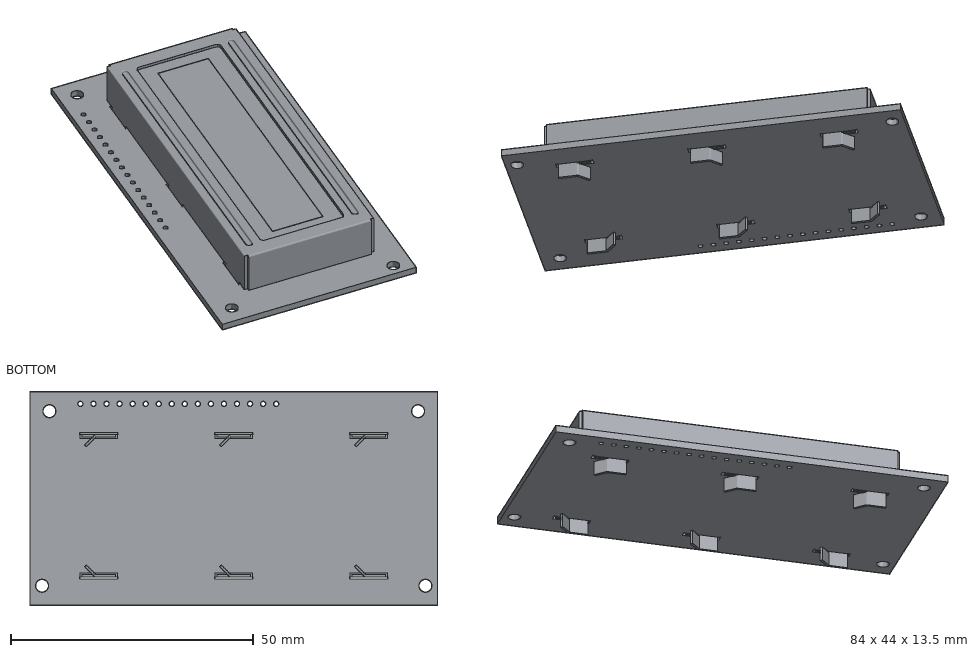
import cadquery as cq
import math

BOARD_LENGTH = 84.0
BOARD_WIDTH = 44.0
BOARD_THICKNESS = 1.5

MOUNT_DIAMETER = 2.6
UPPER_MOUNT_X = 39.5
UPPER_MOUNT_Y = 18.0
LOWER_MOUNT_X = 38.0
LOWER_MOUNT_Y = -18.0

PIN_COUNT = 16
PIN_PITCH = 2.7
PIN_DIAMETER = 1.0
FIRST_PIN_X = -31.6
PIN_Y = -19.5

BEZEL_LENGTH = 68.6
BEZEL_WIDTH = 29.4
BEZEL_HEIGHT = 9.0
BEZEL_Y = 1.5
BEND_RADIUS = 0.3
CORNER_NOTCH_X = 0.6
CORNER_NOTCH_Y = 0.75

WINDOW_LENGTH = 61.65
WINDOW_WIDTH = 19.0
WINDOW_DEPTH = 0.7
WINDOW_RADIUS = 0.8
VIEW_LENGTH = 56.3
VIEW_WIDTH = 11.4
VIEW_DEPTH = 0.1

GROOVE_LENGTH = 61.8
GROOVE_WIDTH = 1.35
GROOVE_DEPTH = 0.6
GROOVE_OFFSET = 12.0
GROOVE_RIM_RADIUS = 0.25
GROOVE_FLOOR_RADIUS = 0.29
SELECTION_MARGIN = 0.1

TAB_PITCH = 27.8
TAB_COUNT = 3
TAB_WIDTH = 6.8
TAB_THICKNESS = 0.5
TAB_DROP = 3.0
TAB_BEND_ANGLE = 45.0
TAB_STRAIGHT_WIDTH = 3.95
SLOT_END_CLEARANCE = 0.5
SLOT_SIDE_CLEARANCE = 0.3

BEZEL_TOP = BOARD_THICKNESS + BEZEL_HEIGHT
TAB_XS = [(i - (TAB_COUNT - 1) / 2) * TAB_PITCH for i in range(TAB_COUNT)]


def make_board():
    mounts = [(side * UPPER_MOUNT_X, UPPER_MOUNT_Y) for side in (-1, 1)]
    mounts += [(side * LOWER_MOUNT_X, LOWER_MOUNT_Y) for side in (-1, 1)]
    pins = [(FIRST_PIN_X + i * PIN_PITCH, PIN_Y) for i in range(PIN_COUNT)]
    board = cq.Workplane("XY").rect(BOARD_LENGTH, BOARD_WIDTH).extrude(BOARD_THICKNESS)
    for points, diameter in ((mounts, MOUNT_DIAMETER), (pins, PIN_DIAMETER)):
        holes = cq.Workplane("XY").pushPoints(points).circle(diameter / 2).extrude(BOARD_THICKNESS)
        board = board.cut(holes)
    tab_center = BEZEL_WIDTH / 2 - TAB_THICKNESS / 2
    slots = [(x, BEZEL_Y + side * tab_center) for x in TAB_XS for side in (-1, 1)]
    slot_length = TAB_WIDTH + 2 * SLOT_END_CLEARANCE
    slot_width = TAB_THICKNESS + 2 * SLOT_SIDE_CLEARANCE
    slot_cut = cq.Workplane("XY").pushPoints(slots).rect(slot_length, slot_width).extrude(BOARD_THICKNESS)
    return board.cut(slot_cut)


def groove_rim(side):
    """Selector for the edges around the mouth of one stiffening groove."""
    groove_y = BEZEL_Y + side * GROOVE_OFFSET
    low = (-GROOVE_LENGTH / 2, groove_y - GROOVE_WIDTH / 2, BEZEL_TOP)
    high = (GROOVE_LENGTH / 2, groove_y + GROOVE_WIDTH / 2, BEZEL_TOP)
    low = [value - SELECTION_MARGIN for value in low]
    high = [value + SELECTION_MARGIN for value in high]
    return cq.selectors.BoxSelector(low, high)


def make_bezel():
    base = cq.Workplane("XY", origin=(0, BEZEL_Y, BOARD_THICKNESS))
    bezel = base.rect(BEZEL_LENGTH, BEZEL_WIDTH).extrude(BEZEL_HEIGHT)
    bezel = bezel.faces(">Z").edges().fillet(BEND_RADIUS)
    corners = base.rect(BEZEL_LENGTH, BEZEL_WIDTH, forConstruction=True).vertices()
    bezel = bezel.cut(corners.rect(2 * CORNER_NOTCH_X, 2 * CORNER_NOTCH_Y).extrude(BEZEL_HEIGHT))

    top = cq.Workplane("XY", origin=(0, BEZEL_Y, BEZEL_TOP))
    window = top.rect(WINDOW_LENGTH, WINDOW_WIDTH).extrude(-WINDOW_DEPTH).edges("|Z").fillet(WINDOW_RADIUS)
    view = top.rect(VIEW_LENGTH, VIEW_WIDTH).extrude(-WINDOW_DEPTH - VIEW_DEPTH)
    bezel = bezel.cut(window).cut(view)
    for side in (-1, 1):
        groove = top.center(0, side * GROOVE_OFFSET).slot2D(GROOVE_LENGTH, GROOVE_WIDTH)
        groove = groove.extrude(-GROOVE_DEPTH).faces("<Z").edges().fillet(GROOVE_FLOOR_RADIUS)
        bezel = bezel.cut(groove)
        bezel = bezel.edges(groove_rim(side)).fillet(GROOVE_RIM_RADIUS)
    return bezel


def make_tab():
    """Tab for the -Y wall, outer face on Y = 0 and inside towards +Y."""
    shank = cq.Workplane("XY").rect(TAB_WIDTH, TAB_THICKNESS).extrude(BOARD_THICKNESS)
    shank = shank.translate((0, TAB_THICKNESS / 2, 0))

    right = TAB_WIDTH / 2
    pivot_x = right - TAB_STRAIGHT_WIDTH
    flap_length = TAB_WIDTH - TAB_STRAIGHT_WIDTH
    angle = math.radians(TAB_BEND_ANGLE)
    flap_x = -flap_length * math.cos(angle)
    flap_y = flap_length * math.sin(angle)

    def outer_point(turn):
        return (pivot_x - TAB_THICKNESS * math.sin(turn), TAB_THICKNESS * (1 - math.cos(turn)))

    bend_end = outer_point(angle)
    foot = (
        cq.Workplane("XY")
        .moveTo(right, 0)
        .lineTo(pivot_x, 0)
        .threePointArc(outer_point(angle / 2), bend_end)
        .lineTo(bend_end[0] + flap_x, bend_end[1] + flap_y)
        .lineTo(pivot_x + flap_x, TAB_THICKNESS + flap_y)
        .lineTo(pivot_x, TAB_THICKNESS)
        .lineTo(right, TAB_THICKNESS)
        .close()
        .extrude(-TAB_DROP)
    )
    return shank.union(foot)


result = make_board().union(make_bezel())
tab = make_tab()
for tab_x in TAB_XS:
    front_tab = tab.translate((tab_x, -BEZEL_WIDTH / 2, 0))
    back_tab = front_tab.mirror("XZ")
    result = result.union(front_tab.translate((0, BEZEL_Y, 0)))
    result = result.union(back_tab.translate((0, BEZEL_Y, 0)))